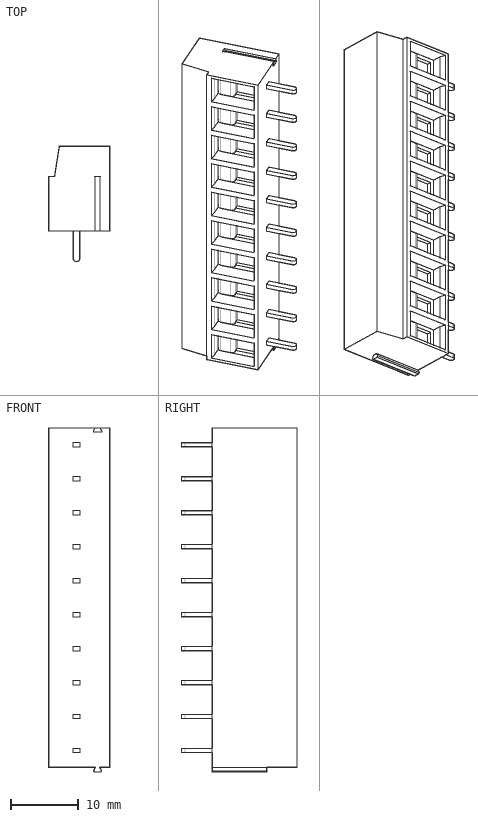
import cadquery as cq

pole_count = 10
pitch = 5.0
body_width = 9.0
body_height = 12.5
body_length = pole_count * pitch

ledge_height = 8.05
ledge_width = 0.85
slope_top_x = 1.55

pin_x = 4.1
pin_width = 1.0
pin_thickness = 0.65
pin_length = 4.5
pin_embed = 0.5

dovetail_x = 7.2
dovetail_flare_height = 0.48
rail_height = 0.68
rail_neck_half = 0.35
rail_wide_half = 0.6
rail_tip_half = 0.45
groove_depth = 0.65
groove_neck_half = 0.37
groove_wide_half = 0.62

window_low_y = 0.6
window_high_y = 7.33
window_length = 4.1
window_depth = 2.3
low_wall_draft = 0.3
high_wall_draft = 0.15
draft_depth = 0.9

slot_depth = 0.4
slot_low_y = 6.8
slot_draft = 0.15

cavity_low_y = 1.5
cavity_length = 2.9
cavity_depth = 0.65

clamp_low_y = 4.35
clamp_high_y = 7.05
clamp_length = 3.1
clamp_rise = 0.65
clamp_radius = 0.58

cavity_floor_x = window_depth + cavity_depth
slot_floor_x = window_depth + slot_depth
pole_centers = [(index + 0.5) * pitch for index in range(pole_count)]


def prism(points, center_z, length):
    """Extrude an XY outline along Z, centered on center_z."""
    start = center_z - length / 2
    return cq.Workplane("XY").workplane(offset=start).polyline(points).close().extrude(length)


def make_body():
    outline = [
        (0, 0),
        (body_width, 0),
        (body_width, body_height),
        (slope_top_x, body_height),
        (ledge_width, ledge_height),
        (0, ledge_height),
    ]
    return prism(outline, body_length / 2, body_length)


def dovetail(sections):
    """Symmetric XZ section from (half width, z) pairs, run from the base up to the ledge height."""
    left = [(dovetail_x - half, z) for half, z in sections]
    right = [(dovetail_x + half, z) for half, z in reversed(sections)]
    return cq.Workplane("XZ").polyline(left + right).close().extrude(-ledge_height)


def make_rail():
    return dovetail([
        (rail_neck_half, 0),
        (rail_wide_half, -dovetail_flare_height),
        (rail_tip_half, -rail_height),
    ])


def make_groove():
    return dovetail([
        (groove_neck_half, body_length),
        (groove_wide_half, body_length - dovetail_flare_height),
        (groove_wide_half, body_length - groove_depth),
    ])


def make_entry(center_z):
    """Space removed for one wire: tapered window, slot in its floor and inner cavity."""
    inner_low_y = window_low_y + low_wall_draft
    inner_high_y = window_high_y - high_wall_draft
    window = [
        (0, window_low_y),
        (draft_depth, inner_low_y),
        (window_depth, inner_low_y),
        (window_depth, slot_low_y - slot_draft),
        (slot_floor_x, slot_low_y),
        (slot_floor_x, inner_high_y),
        (draft_depth, inner_high_y),
        (0, window_high_y),
    ]
    entry = prism(window, center_z, window_length)
    cavity = [
        (0, cavity_low_y),
        (cavity_floor_x, cavity_low_y),
        (cavity_floor_x, clamp_low_y),
        (0, clamp_low_y),
    ]
    return entry.union(prism(cavity, center_z, cavity_length))


def make_clamp(center_z):
    front_x = window_depth - clamp_rise
    outline = [
        (front_x, clamp_low_y),
        (cavity_floor_x, clamp_low_y),
        (cavity_floor_x, clamp_high_y),
        (front_x, clamp_high_y),
    ]
    clamp = prism(outline, center_z, clamp_length)
    return clamp.edges("|Z and <X").fillet(clamp_radius)


def make_pin(center_z):
    """Flat pin with a fully rounded tip."""
    half = pin_width / 2
    shoulder_y = half - pin_length
    return (
        cq.Workplane("XY")
        .workplane(offset=center_z - pin_thickness / 2)
        .moveTo(pin_x - half, pin_embed)
        .lineTo(pin_x - half, shoulder_y)
        .threePointArc((pin_x, -pin_length), (pin_x + half, shoulder_y))
        .lineTo(pin_x + half, pin_embed)
        .close()
        .extrude(pin_thickness)
    )


result = make_body().cut(make_groove()).union(make_rail())
for pole_z in pole_centers:
    result = result.cut(make_entry(pole_z))
    result = result.union(make_clamp(pole_z))
    result = result.union(make_pin(pole_z))